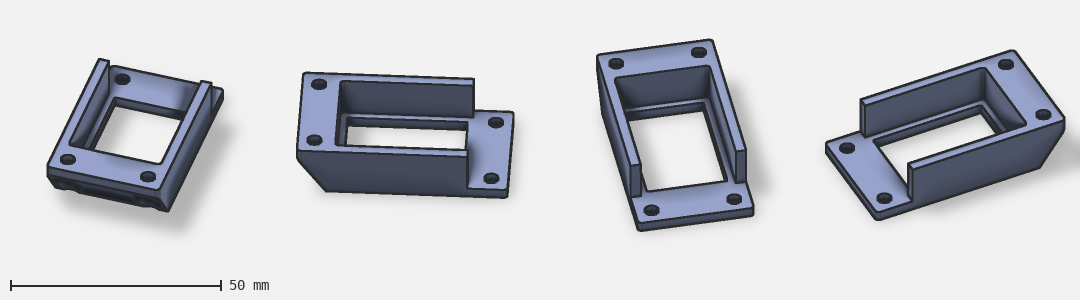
import cadquery as cq

WIDTH = 28.0
LENGTH = 50.0
HEIGHT = 12.5
CORNER_RADIUS = 1.0

PLATE_THICKNESS = 2.5
REAR_LEDGE_LENGTH = 9.5
FRONT_BLOCK_LENGTH = 9.0

RECESS_WIDTH = 23.0
RECESS_CORNER_RADIUS = 1.0

WINDOW_WIDTH = 19.5
WINDOW_LENGTH = 28.6
WINDOW_CORNER_RADIUS = 0.5

SLOPE_RUN = 7.0
FRONT_LIP_HEIGHT = 2.5

HOLE_DIAMETER = 3.3
HOLE_EDGE_DISTANCE = 4.0
HOLE_SPACING_X = 20.0
HEAD_DIAMETER = 7.1
HEAD_SEAT_THICKNESS = 2.5

FRONT_Y = -LENGTH / 2
REAR_Y = LENGTH / 2
WALL_END_Y = REAR_Y - REAR_LEDGE_LENGTH
RECESS_FRONT_Y = FRONT_Y + FRONT_BLOCK_LENGTH
HOLE_X = HOLE_SPACING_X / 2
HOLE_Y = LENGTH / 2 - HOLE_EDGE_DISTANCE


def centered_box(width, y_start, y_end, z_start, z_end):
    """Box symmetric about X = 0 between the given Y and Z limits."""
    return (
        cq.Workplane("XY", origin=(0, (y_start + y_end) / 2, z_start))
        .rect(width, y_end - y_start)
        .extrude(z_end - z_start)
    )


def vertical_cylinder(diameter, x, y, z_start, z_end):
    """Cylinder along Z between the given heights."""
    return cq.Workplane("XY", origin=(x, y, z_start)).circle(diameter / 2).extrude(z_end - z_start)


def make_body():
    """Full-height block with rounded corners, lowered to the plate behind the side walls."""
    block = centered_box(WIDTH, FRONT_Y, REAR_Y, 0, HEIGHT).edges("|Z").fillet(CORNER_RADIUS)
    return block.cut(centered_box(WIDTH, WALL_END_Y, REAR_Y, PLATE_THICKNESS, HEIGHT))


def make_recess():
    """Space between the side walls, rounded at its two front corners."""
    recess = centered_box(RECESS_WIDTH, RECESS_FRONT_Y, WALL_END_Y, PLATE_THICKNESS, HEIGHT)
    return recess.edges("|Z and <Y").fillet(RECESS_CORNER_RADIUS)


def make_window():
    """Rounded rectangular opening through the floor."""
    window = centered_box(WINDOW_WIDTH, -WINDOW_LENGTH / 2, WINDOW_LENGTH / 2, 0, PLATE_THICKNESS)
    return window.edges("|Z").fillet(WINDOW_CORNER_RADIUS)


def make_front_slope():
    """Wedge removed from below the front lip."""
    return (
        cq.Workplane("YZ")
        .moveTo(FRONT_Y, 0)
        .lineTo(FRONT_Y + SLOPE_RUN, 0)
        .lineTo(FRONT_Y, HEIGHT - FRONT_LIP_HEIGHT)
        .close()
        .extrude(WIDTH / 2, both=True)
    )


result = make_body().cut(make_recess()).cut(make_window()).cut(make_front_slope())

for x in (-HOLE_X, HOLE_X):
    for y in (-HOLE_Y, HOLE_Y):
        result = result.cut(vertical_cylinder(HOLE_DIAMETER, x, y, 0, HEIGHT))
    result = result.cut(vertical_cylinder(HEAD_DIAMETER, x, -HOLE_Y, 0, HEIGHT - HEAD_SEAT_THICKNESS))